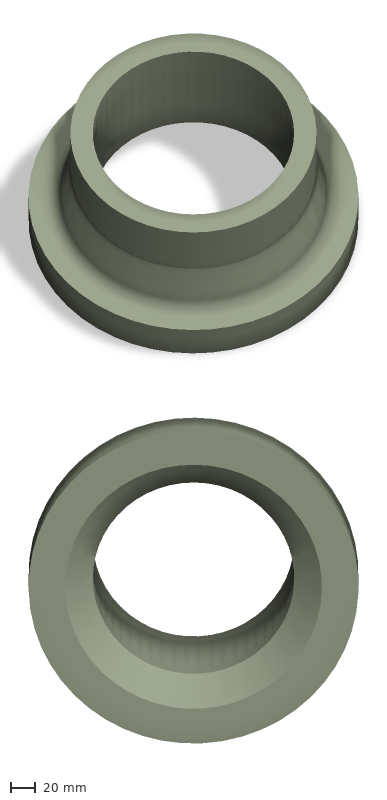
import cadquery as cq

flange_diameter = 268.0
total_height = 120.0
flange_thickness = 32.2

pipe_diameter = 200.0
pipe_length = 50.0
hub_base_diameter = 220.0
hub_fillet = 8.0

bore_diameter = 163.5
bore_chamfer = 22.5

flange_radius = flange_diameter / 2
pipe_radius = pipe_diameter / 2
hub_top = total_height - pipe_length

body = (
    cq.Workplane("XZ")
    .moveTo(0, 0)
    .lineTo(flange_radius, 0)
    .lineTo(flange_radius, flange_thickness)
    .lineTo(hub_base_diameter / 2, flange_thickness)
    .lineTo(pipe_radius, hub_top)
    .lineTo(pipe_radius, total_height)
    .lineTo(0, total_height)
    .close()
    .revolve(360, (0, 0, 0), (0, 1, 0))
)

corner_selector = cq.selectors.RadiusNthSelector(1)
hub_corner = body.edges("%CIRCLE").edges(corner_selector)
body = hub_corner.fillet(hub_fillet)

body = body.cut(cq.Workplane("XY").circle(bore_diameter / 2).extrude(total_height))
bore_edge = body.faces("<Z").edges(cq.selectors.RadiusNthSelector(0))
result = bore_edge.chamfer(bore_chamfer)